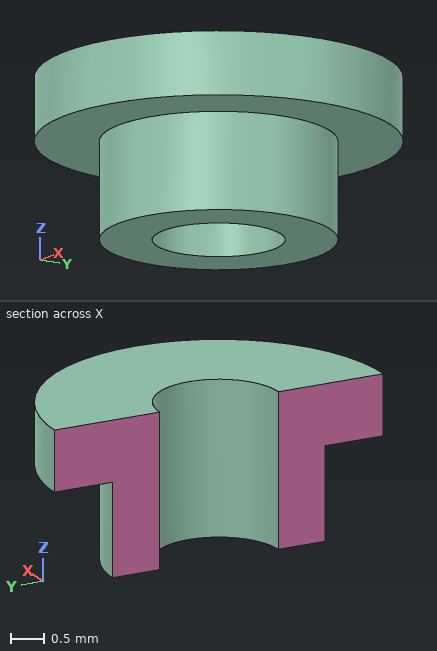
import cadquery as cq

flange_diameter = 5.56
sleeve_diameter = 3.6
bore_diameter = 2.0
total_height = 2.53
flange_thickness = 1.0
sleeve_length = total_height - flange_thickness

sleeve = cq.Workplane("XY").circle(sleeve_diameter / 2).extrude(sleeve_length)

flange = (
    cq.Workplane("XY")
    .workplane(offset=sleeve_length)
    .circle(flange_diameter / 2)
    .extrude(flange_thickness)
)

bore = cq.Workplane("XY").circle(bore_diameter / 2).extrude(total_height)

result = sleeve.union(flange).cut(bore)